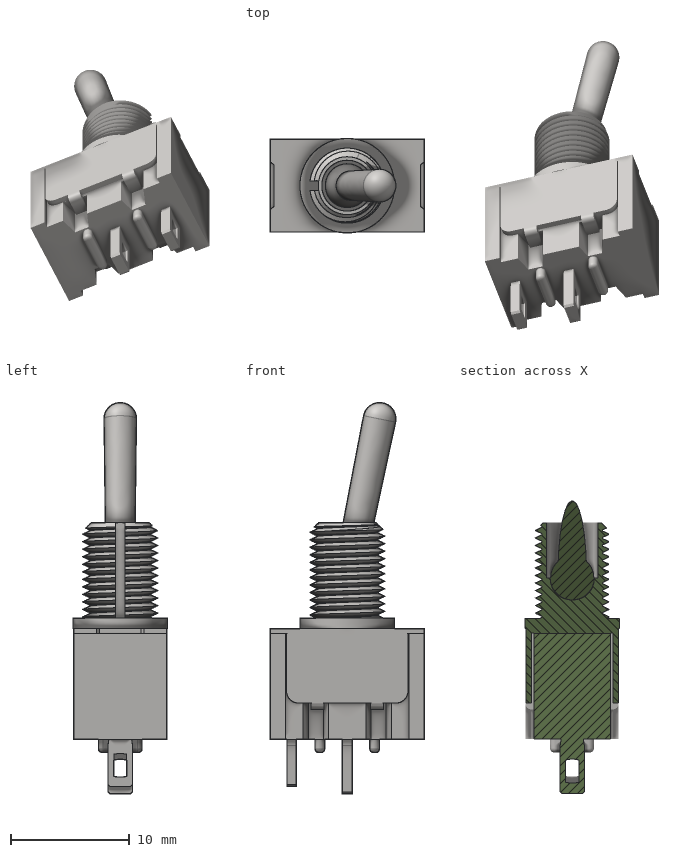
import cadquery as cq
import math


case_length = 13.0
case_width = 7.85
case_height = 9.35
plate_thickness = 0.4
base_height = case_height - plate_thickness

skirt_thickness = 0.5
skirt_width = 10.23
skirt_bottom = 3.07
skirt_corner_radius = 1.0

recess_width = 10.43
recess_depth = skirt_thickness
recess_face = case_width / 2 - recess_depth

notch_mouth_start = 1.52
notch_mouth_width = 2.2
notch_x = notch_mouth_start + notch_mouth_width / 2
notch_floor_width = 1.25
notch_depth = 1.45

middle_setback = 0.2

tab_x = 2.5
tab_width = 1.1
tab_thickness = 0.55
tab_bend_radius = 0.5
tab_reach = 1.78

opening_depth = 0.33
opening_outer_width = 4.03
opening_inner_width = 3.5

foot_x = 2.3
foot_length = 3.7
foot_width = 0.82
foot_height = 1.12
foot_rounding = 0.33

terminal_width = 2.08
shoulder_width = 1.9
shoulder_height = 0.5
terminal_corner = 0.15
eye_width = 1.1
eye_height = 1.98
eye_bulge = 0.05
end_terminal_x = -4.7
end_terminal_thickness = 0.8
end_terminal_length = 3.95
end_eye_top = -1.2
middle_terminal_thickness = 0.85
middle_terminal_length = 4.6
middle_eye_top = -1.68

flange_diameter = 8.0
flange_thickness = 0.9
flange_top = case_height + flange_thickness
bushing_top = 18.28
bore_radius = 2.15
rim_radius = 2.45
keyway_width = 0.8

thread_radius = 3.17
core_radius = 2.57
thread_turns = 12.7
thread_pitch = (bushing_top - flange_top) / thread_turns
thread_root_radius = 2.5
thread_root_width = 0.63
thread_start = 9.55
trim_margin = 0.05

core_seam_angle = 40
trim_seam_angle = 70

lever_tilt = 11.5
pivot_height = 13.63
ball_radius = 1.85
shaft_pivot_radius = 1.22
tip_radius = 1.4
lever_top = 28.4
tip_distance = (lever_top - tip_radius - pivot_height) / math.cos(math.radians(lever_tilt))


def box(length, width, bottom, top):
    """Box centred on the Z axis between two heights."""
    return cq.Workplane("XY").workplane(offset=bottom).rect(length, width).extrude(top - bottom)


def cylinder(radius, bottom, top):
    """Cylinder around the Z axis between two heights."""
    return cq.Workplane("XY").workplane(offset=bottom).circle(radius).extrude(top - bottom)


def both_sides(shape, plane="XZ"):
    """A shape together with its mirror image."""
    return shape.union(shape.mirror(plane))



def notch(x):
    """Cutter for a notch that narrows from its mouth to its floor, on the -Y side."""
    mouth_half = notch_mouth_width / 2
    floor_half = notch_floor_width / 2
    floor_y = notch_depth - recess_face
    return (
        cq.Workplane("XY")
        .polyline([
            (x - mouth_half, -recess_face),
            (x + mouth_half, -recess_face),
            (x + floor_half, floor_y),
            (x - floor_half, floor_y),
        ])
        .close()
        .extrude(skirt_bottom)
    )


def foot(x):
    """Obround standoff foot, rounded underneath."""
    return (
        cq.Workplane("XY")
        .center(x, 0)
        .slot2D(foot_length, foot_width, 90)
        .extrude(-foot_height)
        .faces("<Z")
        .edges()
        .fillet(foot_rounding)
    )


def terminal(x, thickness, length, eye_top):
    """Flat terminal with a narrowed shoulder, cut bottom corners and an eye with bowed ends."""
    half = terminal_width / 2
    shoulder_half = shoulder_width / 2
    blade = (
        cq.Workplane("YZ", origin=(x - thickness / 2, 0, 0))
        .polyline([
            (-shoulder_half, 0),
            (-half, -shoulder_height),
            (-half, terminal_corner - length),
            (terminal_corner - half, -length),
            (half - terminal_corner, -length),
            (half, terminal_corner - length),
            (half, -shoulder_height),
            (shoulder_half, 0),
        ])
        .close()
        .extrude(thickness)
    )
    eye_half = eye_width / 2
    eye_bottom = eye_top - eye_height
    eye = (
        cq.Workplane("YZ", origin=(x - thickness / 2, 0, 0))
        .moveTo(-eye_half, eye_top - eye_bulge)
        .threePointArc((0, eye_top), (eye_half, eye_top - eye_bulge))
        .lineTo(eye_half, eye_bottom + eye_bulge)
        .threePointArc((0, eye_bottom), (-eye_half, eye_bottom + eye_bulge))
        .close()
        .extrude(thickness)
    )
    return blade.cut(eye)


def make_base():
    """Block with side recesses and notches, standing on its feet and terminals."""
    body = box(case_length, case_width, 0, base_height)
    recess = (
        box(recess_width, recess_depth, 0, base_height)
        .translate((0, -case_width / 2 + recess_depth / 2, 0))
    )
    middle_recess = (
        box(2 * notch_x, middle_setback, 0, base_height)
        .translate((0, -recess_face + middle_setback / 2, 0))
    )
    body = body.cut(both_sides(recess)).cut(both_sides(middle_recess))
    for side in (-1, 1):
        body = body.cut(both_sides(notch(side * notch_x)))
        body = body.union(foot(side * foot_x))
    body = body.union(
        terminal(end_terminal_x, end_terminal_thickness, end_terminal_length, end_eye_top)
    )
    return body.union(
        terminal(0, middle_terminal_thickness, middle_terminal_length, middle_eye_top)
    )



def make_lever():
    """Tapered shaft with a rounded tip, on a pivot ball, tilted toward +X."""
    shaft = (
        cq.Workplane("XZ")
        .moveTo(0, 0)
        .lineTo(shaft_pivot_radius, 0)
        .lineTo(tip_radius, tip_distance)
        .radiusArc((0, tip_distance + tip_radius), -tip_radius)
        .close()
        .revolve(360, (0, 0, 0), (0, 1, 0))
    )
    ball = cq.Workplane("XY").sphere(ball_radius)
    tilted_shaft = shaft.rotate((0, 0, 0), (0, 1, 0), lever_tilt)
    return ball.union(tilted_shaft).translate((0, 0, pivot_height))



def end_opening():
    """Cutter for the bevelled opening at the -X end of the plate."""
    end_x = -case_length / 2
    return (
        cq.Workplane("XY")
        .workplane(offset=base_height)
        .polyline([
            (end_x, -opening_outer_width / 2),
            (end_x + opening_depth, -opening_inner_width / 2),
            (end_x + opening_depth, opening_inner_width / 2),
            (end_x, opening_outer_width / 2),
        ])
        .close()
        .extrude(plate_thickness)
    )


def tab(x):
    """Tab bent from the lower edge of the -Y skirt into the notch, short of its floor."""
    return (
        box(tab_width, tab_reach, skirt_bottom - tab_thickness, skirt_bottom)
        .faces("<Z")
        .edges("<Y")
        .fillet(tab_bend_radius)
        .translate((x, (tab_reach - case_width) / 2, 0))
    )


def skirt():
    """Skirt on the -Y side, with rounded lower corners and two tabs."""
    plate = (
        box(skirt_width, skirt_thickness, skirt_bottom, case_height)
        .edges("|Y and <Z")
        .fillet(skirt_corner_radius)
        .translate((0, -case_width / 2 + skirt_thickness / 2, 0))
    )
    for side in (-1, 1):
        plate = plate.union(tab(side * tab_x))
    return plate


def thread():
    """Helical V-shaped ridge whose root is buried in the core and whose ends overrun the bushing."""
    height = bushing_top - thread_start + thread_pitch
    half = thread_root_width / 2

    def helix(radius, lift):
        """Right-handed helix of the thread, raised from the thread start."""
        wire = cq.Wire.makeHelix(thread_pitch, height, radius)
        return wire.translate(cq.Vector(0, 0, thread_start + lift))

    lower_root = helix(thread_root_radius, -half)
    crest = helix(thread_radius, 0)
    upper_root = helix(thread_root_radius, half)
    ridge_lines = (lower_root, crest, upper_root)
    first_corners = [line.startPoint() for line in ridge_lines]
    last_corners = [line.endPoint() for line in ridge_lines]
    faces = [
        cq.Face.makeRuledSurface(lower_root, crest),
        cq.Face.makeRuledSurface(crest, upper_root),
        cq.Face.makeRuledSurface(upper_root, lower_root),
        cq.Face.makeFromWires(cq.Wire.makePolygon(first_corners, close=True)),
        cq.Face.makeFromWires(cq.Wire.makePolygon(last_corners, close=True)),
    ]
    return cq.Workplane(cq.Solid.makeSolid(cq.Shell.makeShell(faces)))


def threaded_barrel():
    """Core with its thread, trimmed between the flange and the chamfered rim."""
    core_bottom = flange_top - 2 * thread_pitch
    core_top = bushing_top + 2 * thread_pitch
    core = cylinder(core_radius, core_bottom, core_top).rotate((0, 0, 0), (0, 0, 1), core_seam_angle)
    trim_radius = thread_radius + trim_margin
    trim = (
        cylinder(trim_radius, flange_top, bushing_top)
        .faces(">Z")
        .chamfer(trim_radius - rim_radius)
        .rotate((0, 0, 0), (0, 0, 1), trim_seam_angle)
    )
    return core.union(thread(), clean=False).intersect(trim, clean=False)


def make_bushing():
    """Flanged, threaded bushing with a keyway, a bore and a seat matching the lever."""
    keyway_depth = thread_radius + trim_margin - rim_radius
    keyway = (
        box(keyway_depth, keyway_width, flange_top, bushing_top)
        .translate((-rim_radius - keyway_depth / 2, 0, 0))
    )
    flange = cylinder(flange_diameter / 2, case_height, flange_top)
    bore = cylinder(bore_radius, pivot_height, bushing_top)
    barrel = threaded_barrel().cut(keyway, clean=False)
    return barrel.union(flange, clean=False).cut(bore, clean=False).cut(make_lever(), clean=False)


def make_frame():
    """Plate with end openings, two skirts and the bushing."""
    plate = box(case_length, case_width, base_height, case_height)
    plate = plate.cut(both_sides(end_opening(), "YZ"))
    return plate.union(both_sides(skirt())).union(make_bushing(), clean=False)


base = make_base()
frame = make_frame()
lever = make_lever()

result = cq.Compound.makeCompound([
    *base.solids().vals(),
    *frame.solids().vals(),
    *lever.solids().vals(),
])